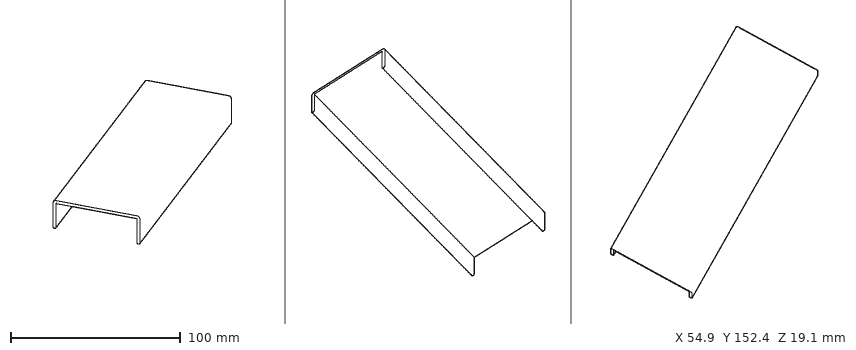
import cadquery as cq

inner_width = 50.8
wall = 2.032
height = 19.05
length = 152.4

outer_width = inner_width + 2 * wall
corner_radius = wall
tip_radius = wall / 2

half_outer = outer_width / 2
half_inner = inner_width / 2
leg_center = half_inner + wall / 2


def channel_profile():
    """Closed U-shaped section in XZ, open downward, with rounded leg tips."""
    return (
        cq.Workplane("XZ", origin=(0, length / 2, 0))
        .moveTo(-half_outer, tip_radius)
        .lineTo(-half_outer, height)
        .lineTo(half_outer, height)
        .lineTo(half_outer, tip_radius)
        .threePointArc((leg_center, 0), (half_inner, tip_radius))
        .lineTo(half_inner, height - wall)
        .lineTo(-half_inner, height - wall)
        .lineTo(-half_inner, tip_radius)
        .threePointArc((-leg_center, 0), (-half_outer, tip_radius))
        .close()
    )


def round_outer_corners(channel):
    """Round the two long outer edges along the top of the channel."""
    top_long_edges = channel.faces(">Z").edges("|Y")
    return top_long_edges.fillet(corner_radius)


result = round_outer_corners(channel_profile().extrude(length))